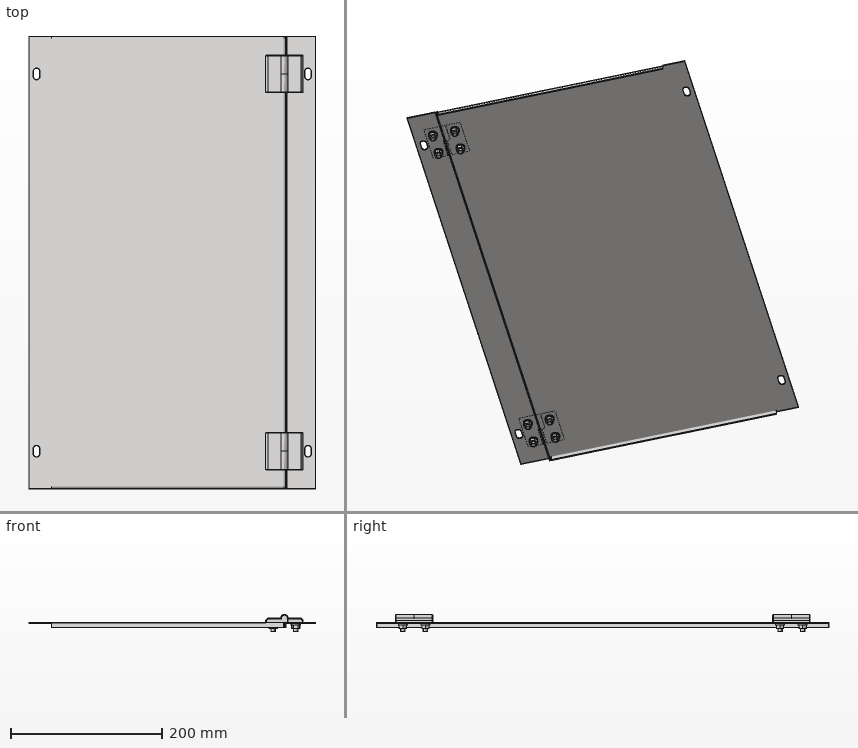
import cadquery as cq
import math

PLATE_LENGTH_X = 380.0
PLATE_LENGTH_Y = 599.0
SHEET = 1.5
LEFT_EDGE = -PLATE_LENGTH_X / 2
RIGHT_EDGE = PLATE_LENGTH_X / 2
BACK_EDGE = PLATE_LENGTH_Y / 2

STRIP_WIDTH = 38.5
DOOR_GAP = 1.0
STRIP_LEFT = RIGHT_EDGE - STRIP_WIDTH
DOOR_RIGHT = STRIP_LEFT - DOOR_GAP
FLANGE_DEPTH = 6.5
BEND_RADIUS = 2.5
TAB_WIDTH = 30.0

SLOT_LENGTH = 15.0
SLOT_WIDTH = 8.5
SLOT_EDGE_DISTANCE = 10.0
SLOT_X = RIGHT_EDGE - SLOT_EDGE_DISTANCE
SLOT_Y = 250.0

HINGE_SIZE = 50.0
HINGE_HALF = HINGE_SIZE / 2
HINGE_X = 148.5
HINGE_POSITIONS_Y = (-SLOT_Y, SLOT_Y)
LEAF_HEIGHT = 6.0
KNUCKLE_RADIUS = 5.0
BEVEL_WIDTH = 3.0
BEVEL_START = LEAF_HEIGHT - BEVEL_WIDTH
END_CHAMFER = 0.9

SCREW_SPACING = 30.0
SCREW_DIAMETER = 6.0
SCREW_END = -12.0
WASHER_DIAMETER = 12.0
WASHER_THICKNESS = 2.0
NUT_FLATS = 9.5
NUT_HEIGHT = 5.0
NUT_CORNERS = NUT_FLATS / math.cos(math.pi / 6)


def flat_sheet(x_left, x_right, y_half):
    """Flat sheet between two X limits, centred on Y = 0, top face at Z = 0."""
    return (
        cq.Workplane("XY")
        .rect(x_right - x_left, 2 * y_half)
        .extrude(-SHEET)
        .translate(((x_left + x_right) / 2, 0, 0))
    )


def cut_slots(sheet, x):
    """Cut the two mounting slots at one X position."""
    slots = (
        cq.Workplane("XY")
        .pushPoints([(x, -SLOT_Y), (x, SLOT_Y)])
        .slot2D(SLOT_LENGTH, SLOT_WIDTH, 90)
        .extrude(-SHEET)
    )
    return sheet.cut(slots)


def folded_edge(length):
    """Bend and flange folded down at the +X side, its outer face at X = 0, extruded along -Y."""
    inner_radius = BEND_RADIUS - SHEET
    bend_middle = math.sqrt(0.5)
    outer_middle = BEND_RADIUS * bend_middle - BEND_RADIUS
    inner_middle = inner_radius * bend_middle - BEND_RADIUS
    return (
        cq.Workplane("XZ")
        .moveTo(-BEND_RADIUS, 0)
        .threePointArc((outer_middle, outer_middle), (0, -BEND_RADIUS))
        .lineTo(0, -FLANGE_DEPTH)
        .lineTo(-SHEET, -FLANGE_DEPTH)
        .lineTo(-SHEET, -BEND_RADIUS)
        .threePointArc((inner_middle, inner_middle), (-BEND_RADIUS, -SHEET))
        .close()
        .extrude(length)
    )


def door_sheet():
    """Panel with a full-width tab on the left and folded edges on the other three sides."""
    fold_left = LEFT_EDGE + TAB_WIDTH
    fold_right = DOOR_RIGHT - BEND_RADIUS
    fold_length = fold_right - fold_left
    sheet = flat_sheet(LEFT_EDGE, fold_left, BACK_EDGE)
    sheet = sheet.union(flat_sheet(fold_left, fold_right, BACK_EDGE - BEND_RADIUS))

    right_fold = folded_edge(PLATE_LENGTH_Y).translate((DOOR_RIGHT, BACK_EDGE, 0))
    back_fold = folded_edge(fold_length).rotate((0, 0, 0), (0, 0, 1), 90)
    back_fold = back_fold.translate((fold_left, BACK_EDGE, 0))
    front_fold = back_fold.mirror("XZ")
    sheet = sheet.union(right_fold).union(back_fold).union(front_fold)
    return cut_slots(sheet, -SLOT_X)


def leaf_profile(with_knuckle):
    """Section of a leaf about the hinge axis, on the sheet at Z = 0, beveled along its outer side."""
    outline = (
        cq.Workplane("XZ")
        .moveTo(-HINGE_HALF, 0)
        .lineTo(-HINGE_HALF, BEVEL_START)
        .lineTo(-HINGE_HALF + BEVEL_WIDTH, LEAF_HEIGHT)
        .lineTo(-KNUCKLE_RADIUS, LEAF_HEIGHT)
    )
    if with_knuckle:
        knuckle_top = (0, LEAF_HEIGHT + KNUCKLE_RADIUS)
        outline = outline.threePointArc(knuckle_top, (KNUCKLE_RADIUS, LEAF_HEIGHT)).lineTo(KNUCKLE_RADIUS, 0)
    else:
        outline = outline.lineTo(-KNUCKLE_RADIUS, 0)
    return outline.close()


def fastener():
    """Washer, nut and screw end, hanging from the underside of the sheet."""
    washer = cq.Workplane("XY").circle(WASHER_DIAMETER / 2).extrude(-WASHER_THICKNESS)
    nut = cq.Workplane("XY").polygon(6, NUT_CORNERS).extrude(-NUT_HEIGHT)
    nut = nut.translate((0, 0, -WASHER_THICKNESS))
    screw = cq.Workplane("XY").circle(SCREW_DIAMETER / 2).extrude(SCREW_END + SHEET)
    return washer.union(nut).union(screw).translate((0, 0, -SHEET))


def hinge_leaf():
    """Left leaf with its two fasteners; the knuckle fills the -Y half, the +Y half clears the mating one."""
    knuckle_half = leaf_profile(True).extrude(HINGE_HALF)
    plain_half = leaf_profile(False).extrude(-HINGE_HALF)
    knuckle_half = knuckle_half.faces("<Y").edges("not(<Z or >X)").chamfer(END_CHAMFER)
    plain_half = plain_half.faces(">Y").edges("not(<Z or >X)").chamfer(END_CHAMFER)
    leaf = knuckle_half.union(plain_half)
    for y in (-SCREW_SPACING / 2, SCREW_SPACING / 2):
        leaf = leaf.union(fastener().translate((-SCREW_SPACING / 2, y, 0)))
    return leaf


def add_leaves(sheet, leaf):
    """Join one leaf to the sheet at each hinge position."""
    for y in HINGE_POSITIONS_Y:
        sheet = sheet.union(leaf.translate((HINGE_X, y, 0)))
    return sheet


door_leaf = hinge_leaf()
strip_leaf = door_leaf.rotate((0, 0, 0), (0, 0, 1), 180)

door = add_leaves(door_sheet(), door_leaf)
strip_sheet = cut_slots(flat_sheet(STRIP_LEFT, RIGHT_EDGE, BACK_EDGE), SLOT_X)
strip = add_leaves(strip_sheet, strip_leaf)

result = cq.Compound.makeCompound([door.val(), strip.val()])